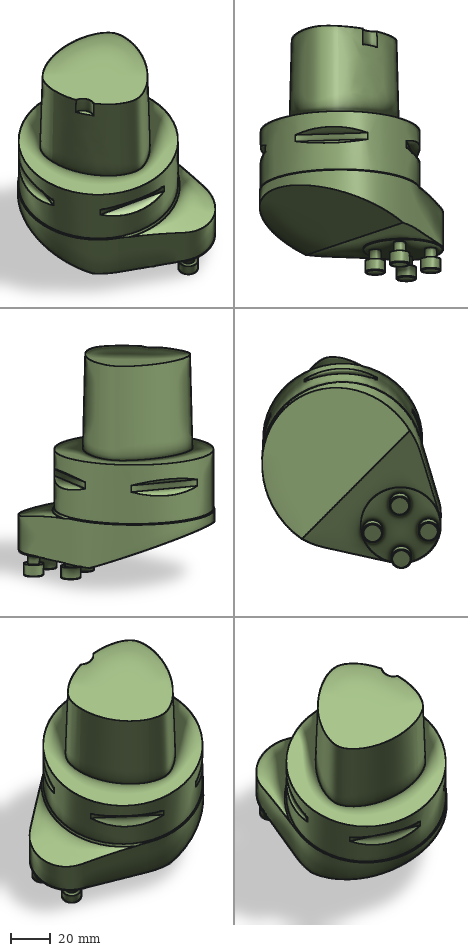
import cadquery as cq
import math


clearance = 1.1

shank_height = 48.0
shank_mean_radius = 27.6
lobe_height = 2.2
lobe_half_angle = 33.5
arc_divisions = 8
shank_taper = 1 / 40

notch_radius = 6.0
notch_height = 8.2
notch_center_y = -27.9

flange_radius = 40.0
flange_depth = 30.1
base_radius = 40.5
shoulder_radius = 40.9
shoulder_depth = 31.2
base_depth = 54.0
shoulder_slope = 15

arm_reach = 40.0
pad_radius = 20.01
pad_thickness = 0.6
arm_radius = 20.3

slant_edge_x = 9.1
slant_angle = 20

groove_floor_distance = 35.6
groove_floor_height = 3.3
groove_depth = 12.2
groove_flank_angle = 30

screw_spacing = 19.8
screw_radius = 3.02
screw_head_radius = 5.0
screw_head_height = 6.0
screw_head_chamfer = 0.5
screw_end_depth = 66.0


def lobed_point(mean_radius, degrees):
    """Point of the trilobe whose outward normal is the given angle away from the +Y lobe."""
    angle = math.radians(degrees)
    along = mean_radius * math.cos(angle) + lobe_height * (2 * math.cos(2 * angle) - math.cos(4 * angle))
    across = mean_radius * math.sin(angle) - lobe_height * (2 * math.sin(2 * angle) + math.sin(4 * angle))
    return cq.Vector(-across, along)


def lobed_tangent(degrees):
    angle = math.radians(degrees)
    return cq.Vector(-math.cos(angle), -math.sin(angle))


def lobed_wire(mean_radius, height):
    """Three lobes and three flatter sides, meeting smoothly."""
    edges = []
    for lobe_direction in (0, 120, 240):
        lobe_start = lobe_direction - lobe_half_angle
        lobe_end = lobe_direction + lobe_half_angle
        for start, end in ((lobe_start, lobe_end), (lobe_end, lobe_start + 120)):
            step = (end - start) / arc_divisions
            points = [lobed_point(mean_radius, start + i * step) for i in range(arc_divisions + 1)]
            edges.append(cq.Edge.makeSpline(points, tangents=[lobed_tangent(start), lobed_tangent(end)]))
    return cq.Wire.assembleEdges(edges).moved(cq.Location(cq.Vector(0, 0, height)))


def make_shank():
    top_radius = shank_mean_radius - shank_height * shank_taper
    bottom_wire = lobed_wire(shank_mean_radius, 0)
    top_wire = lobed_wire(top_radius, shank_height)
    shank = cq.Workplane(cq.Solid.makeLoft([bottom_wire, top_wire], True))
    notch = (
        cq.Workplane("XY", origin=(0, notch_center_y, shank_height - notch_height))
        .circle(notch_radius)
        .extrude(notch_height)
    )
    return shank.cut(notch)


def make_base_blank():
    """Round base joined to the arm end by common tangents."""
    tangent_angle = math.acos((base_radius - arm_radius) / arm_reach)
    tangent_x = math.cos(tangent_angle)
    tangent_y = math.sin(tangent_angle)
    base_x, base_y = base_radius * tangent_x, base_radius * tangent_y
    end_x, end_y = arm_reach + arm_radius * tangent_x, arm_radius * tangent_y
    return (
        cq.Workplane("XY", origin=(0, 0, -base_depth))
        .moveTo(base_x, base_y)
        .threePointArc((-base_radius, 0), (base_x, -base_y))
        .lineTo(end_x, -end_y)
        .threePointArc((arm_reach + arm_radius, 0), (end_x, end_y))
        .close()
        .extrude(base_depth)
    )


def make_envelope():
    """Turned body: flange, small shoulder chamfer and the cone over the arm."""
    outer_radius = arm_reach + arm_radius + clearance
    outer_depth = shoulder_depth + (outer_radius - shoulder_radius) * math.tan(math.radians(shoulder_slope))
    return (
        cq.Workplane("XZ")
        .polyline(
            [
                (0, 0),
                (flange_radius, 0),
                (flange_radius, -flange_depth),
                (shoulder_radius, -shoulder_depth),
                (outer_radius, -outer_depth),
                (outer_radius, -base_depth),
                (0, -base_depth),
            ]
        )
        .close()
        .revolve(360, (0, 0, 0), (0, 1, 0))
    )


def make_slant_cutter():
    run = 2 * base_radius
    rise = run * math.tan(math.radians(slant_angle))
    return (
        cq.Workplane("XZ")
        .moveTo(slant_edge_x, -base_depth)
        .lineTo(slant_edge_x - run, -base_depth)
        .lineTo(slant_edge_x - run, -base_depth + rise)
        .close()
        .extrude(2 * base_radius, both=True)
    )


def make_groove_cutter(direction):
    """Flat-floored groove with flared flanks, facing the given direction in degrees."""
    length = flange_radius - groove_floor_distance + clearance
    half_floor = groove_floor_height / 2
    half_mouth = half_floor + length * math.tan(math.radians(groove_flank_angle))
    floor_x = groove_floor_distance
    mouth_x = floor_x + length
    return (
        cq.Workplane("XZ", origin=(0, 0, -groove_depth))
        .polyline(
            [(floor_x, -half_floor), (mouth_x, -half_mouth), (mouth_x, half_mouth), (floor_x, half_floor)]
        )
        .close()
        .extrude(flange_radius, both=True)
        .rotate((0, 0, 0), (0, 0, 1), direction)
    )


def make_screws():
    head_top_depth = screw_end_depth - screw_head_height
    heads = (
        cq.Workplane("XY", origin=(arm_reach, 0, -screw_end_depth))
        .rarray(screw_spacing, screw_spacing, 2, 2)
        .circle(screw_head_radius)
        .extrude(screw_head_height)
        .faces("<Z")
        .chamfer(screw_head_chamfer)
    )
    stems = (
        cq.Workplane("XY", origin=(arm_reach, 0, -head_top_depth))
        .rarray(screw_spacing, screw_spacing, 2, 2)
        .circle(screw_radius)
        .extrude(head_top_depth - base_depth)
    )
    return heads.union(stems)


body = make_base_blank().intersect(make_envelope()).cut(make_slant_cutter())
for groove_direction in (45, 135, 225, 315):
    body = body.cut(make_groove_cutter(groove_direction))

pad = (
    cq.Workplane("XY", origin=(arm_reach, 0, -base_depth - pad_thickness))
    .circle(pad_radius)
    .extrude(pad_thickness)
)

result = body.union(make_shank()).union(pad).union(make_screws())